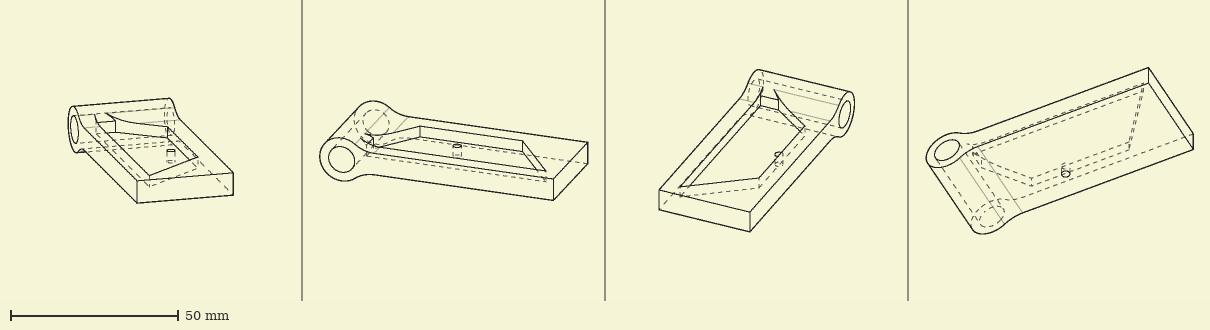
import cadquery as cq
import math

width = 30.0
total_length = 74.45
barrel_radius = 7.0
bore_diameter = 8.3
plate_thickness = 7.0
blend_radius = 10.0

pocket_depth = 3.5
pocket_front_margin = 5.0
pocket_end_margin = 4.2
pocket_height = 19.3
pocket_short_side = 32.6
pocket_side_run = 14.55

pin_diameter = 2.5
pin_from_back_wall = 2.6
pin_from_short_side_start = 12.75

half_thickness = plate_thickness / 2
plate_end = total_length - barrel_radius
front_face = -width / 2
pocket_front = front_face + pocket_front_margin
pocket_back = pocket_front + pocket_height
pocket_end = plate_end - pocket_end_margin
short_side_end = pocket_end - pocket_side_run
short_side_start = short_side_end - pocket_short_side
pocket_start = short_side_start - pocket_side_run
pocket_floor = half_thickness - pocket_depth

barrel_plate_meet = math.sqrt(barrel_radius**2 - half_thickness**2)


def extrude_across(sketch):
    """Extrude an XZ sketch over the full width, centred on Y = 0."""
    return sketch.extrude(width / 2, both=True)


def make_body():
    """Barrel and plate in one profile, joined by concave arcs tangent to both."""
    blend_z = half_thickness + blend_radius
    centre_distance = barrel_radius + blend_radius
    blend_x = math.sqrt(centre_distance**2 - blend_z**2)
    tangent_x = blend_x * barrel_radius / centre_distance
    tangent_z = blend_z * barrel_radius / centre_distance

    start_angle = math.atan2(-blend_z, -blend_x)
    middle_angle = (start_angle - math.pi / 2) / 2
    middle_x = blend_x + blend_radius * math.cos(middle_angle)
    middle_z = blend_z + blend_radius * math.sin(middle_angle)

    profile = (
        cq.Workplane("XZ")
        .moveTo(plate_end, -half_thickness)
        .lineTo(plate_end, half_thickness)
        .lineTo(blend_x, half_thickness)
        .threePointArc((middle_x, middle_z), (tangent_x, tangent_z))
        .threePointArc((-barrel_radius, 0), (tangent_x, -tangent_z))
        .threePointArc((middle_x, -middle_z), (blend_x, -half_thickness))
        .close()
    )
    return extrude_across(profile)


def make_bore():
    return extrude_across(cq.Workplane("XZ").circle(bore_diameter / 2))


def make_pocket():
    """Trapezoidal pocket that stops at the barrel surface and, below the plate top, at a flat wall."""
    trapezoid = (
        cq.Workplane("XY", origin=(0, 0, pocket_floor))
        .moveTo(pocket_start, pocket_front)
        .lineTo(pocket_end, pocket_front)
        .lineTo(short_side_end, pocket_back)
        .lineTo(short_side_start, pocket_back)
        .close()
        .extrude(barrel_radius - pocket_floor)
    )
    standing_barrel = extrude_across(
        cq.Workplane("XZ")
        .moveTo(barrel_plate_meet, -half_thickness)
        .lineTo(barrel_plate_meet, half_thickness)
        .threePointArc((-barrel_radius, 0), (barrel_plate_meet, -half_thickness))
        .close()
    )
    return trapezoid.cut(standing_barrel)


def make_pin_hole():
    pin_x = short_side_start + pin_from_short_side_start
    pin_y = pocket_back - pin_from_back_wall
    return (
        cq.Workplane("XY")
        .center(pin_x, pin_y)
        .circle(pin_diameter / 2)
        .extrude(plate_thickness, both=True)
    )


result = make_body().cut(make_bore()).cut(make_pocket()).cut(make_pin_hole())